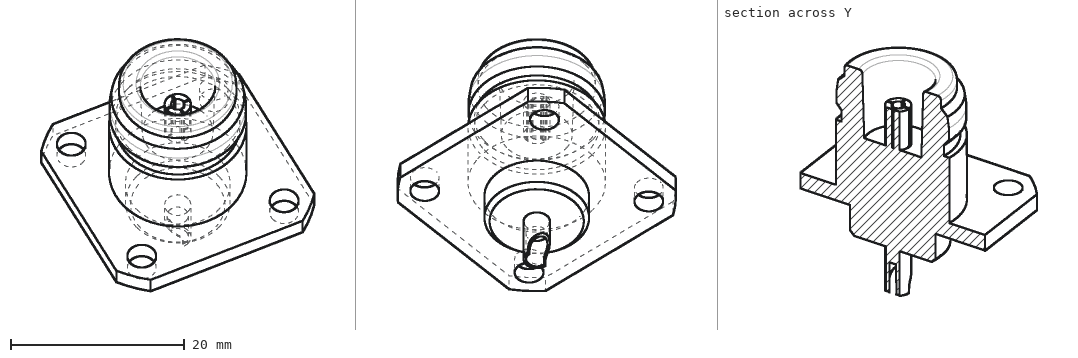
import cadquery as cq
import math

HEIGHT = 28.55

FLANGE_SIDE = 25.4
FLANGE_CORNER_RADIUS = 16.02
FLANGE_BOTTOM = 9.88
FLANGE_TOP = 12.02
HOLE_SPACING = 18.27
HOLE_DIAMETER = 3.3

BARREL_RADIUS = 7.9
BARREL_TOP = 20.75
NECK_RADIUS = 7.17
NECK_TOP = 22.2
COLLAR_RADIUS = 7.85
COLLAR_BOTTOM = 22.98
COLLAR_TOP = 24.7
SHOULDER_RADIUS = 7.65
SHOULDER_Z = 26.15
LIP_RADIUS = 6.77
LIP_BOTTOM = 27.05
LIP_ROUND = 0.49

SOCKET_MOUTH_RADIUS = 4.3
SOCKET_FLOOR_RADIUS = 4.08
SOCKET_FLOOR = 19.55

BOSS_RADIUS = 6.02
BOSS_BOTTOM = 5.95
BOSS_CHAMFER = 0.6

PIN_RADIUS = 1.5
CONTACT_TOP = 24.7
CONTACT_BORE_RADIUS = 0.77
CONTACT_SLOT_WIDTH = 0.15
CUP_RADIUS = 1.23
CUP_DEPTH = 4.0
CUP_RELIEF_START = 0.65
CUP_RELIEF_RADIUS = 1.85


def cylinder(radius, bottom, top):
    return cq.Workplane("XY").workplane(offset=bottom).circle(radius).extrude(top - bottom)


def make_flange():
    thickness = FLANGE_TOP - FLANGE_BOTTOM
    plate = (
        cq.Workplane("XY")
        .workplane(offset=FLANGE_BOTTOM)
        .rect(FLANGE_SIDE, FLANGE_SIDE)
        .extrude(thickness)
        .intersect(cylinder(FLANGE_CORNER_RADIUS, FLANGE_BOTTOM, FLANGE_TOP))
    )
    return (
        plate.faces(">Z")
        .workplane(origin=(0, 0, FLANGE_TOP))
        .rect(HOLE_SPACING, HOLE_SPACING, forConstruction=True)
        .vertices()
        .hole(HOLE_DIAMETER)
    )


def make_body():
    """Boss, barrel and socket, turned as a half profile of (radius, Z) points."""
    arc_offset = LIP_ROUND * (1 - math.sqrt(0.5))
    profile = (
        cq.Workplane("XZ")
        .moveTo(0, BOSS_BOTTOM)
        .lineTo(BOSS_RADIUS - BOSS_CHAMFER, BOSS_BOTTOM)
        .lineTo(BOSS_RADIUS, BOSS_BOTTOM + BOSS_CHAMFER)
        .lineTo(BOSS_RADIUS, FLANGE_TOP)
        .lineTo(BARREL_RADIUS, FLANGE_TOP)
        .lineTo(BARREL_RADIUS, BARREL_TOP)
        .lineTo(NECK_RADIUS, BARREL_TOP)
        .lineTo(NECK_RADIUS, NECK_TOP)
        .lineTo(COLLAR_RADIUS, COLLAR_BOTTOM)
        .lineTo(COLLAR_RADIUS, COLLAR_TOP)
        .lineTo(SHOULDER_RADIUS, SHOULDER_Z)
        .lineTo(LIP_RADIUS, LIP_BOTTOM)
        .lineTo(LIP_RADIUS, HEIGHT - LIP_ROUND)
        .threePointArc(
            (LIP_RADIUS - arc_offset, HEIGHT - arc_offset),
            (LIP_RADIUS - LIP_ROUND, HEIGHT),
        )
        .lineTo(SOCKET_MOUTH_RADIUS + LIP_ROUND, HEIGHT)
        .threePointArc(
            (SOCKET_MOUTH_RADIUS + arc_offset, HEIGHT - arc_offset),
            (SOCKET_MOUTH_RADIUS, HEIGHT - LIP_ROUND),
        )
        .lineTo(SOCKET_FLOOR_RADIUS, SOCKET_FLOOR)
        .lineTo(0, SOCKET_FLOOR)
        .close()
    )
    return profile.revolve(360, (0, 0), (0, 1))


def make_contact():
    """Female contact standing in the socket, split into four fingers."""
    contact = cylinder(PIN_RADIUS, SOCKET_FLOOR, CONTACT_TOP)
    slot_depth = CONTACT_TOP - SOCKET_FLOOR
    contact = contact.cut(cylinder(CONTACT_BORE_RADIUS, SOCKET_FLOOR, CONTACT_TOP))
    for angle in (0, 90):
        slot = (
            cq.Workplane("XY")
            .workplane(offset=SOCKET_FLOOR)
            .rect(2 * PIN_RADIUS, CONTACT_SLOT_WIDTH)
            .extrude(slot_depth)
            .rotate((0, 0, 0), (0, 0, 1), angle)
        )
        contact = contact.cut(slot)
    return contact


def make_solder_pin():
    """Rear pin with a blind cup, opened on the -Y side by an arc and a 45 degree ramp."""
    pin = cylinder(PIN_RADIUS, 0, BOSS_BOTTOM).cut(cylinder(CUP_RADIUS, 0, CUP_DEPTH))
    half_angle = math.radians(22.5)
    arc_middle = (
        -CUP_RELIEF_RADIUS * (1 - math.cos(half_angle)),
        CUP_RELIEF_START + CUP_RELIEF_RADIUS * math.sin(half_angle),
    )
    arc_end_y = -CUP_RELIEF_RADIUS * (1 - math.sqrt(0.5))
    arc_end_z = CUP_RELIEF_START + CUP_RELIEF_RADIUS * math.sqrt(0.5)
    relief_y = -2 * PIN_RADIUS
    relief = (
        cq.Workplane("YZ")
        .moveTo(0, 0)
        .lineTo(0, CUP_RELIEF_START)
        .threePointArc(arc_middle, (arc_end_y, arc_end_z))
        .lineTo(relief_y, arc_end_z + arc_end_y - relief_y)
        .lineTo(relief_y, 0)
        .close()
        .extrude(PIN_RADIUS, both=True)
    )
    return pin.cut(relief)


result = make_body().union(make_flange()).union(make_contact()).union(make_solder_pin())